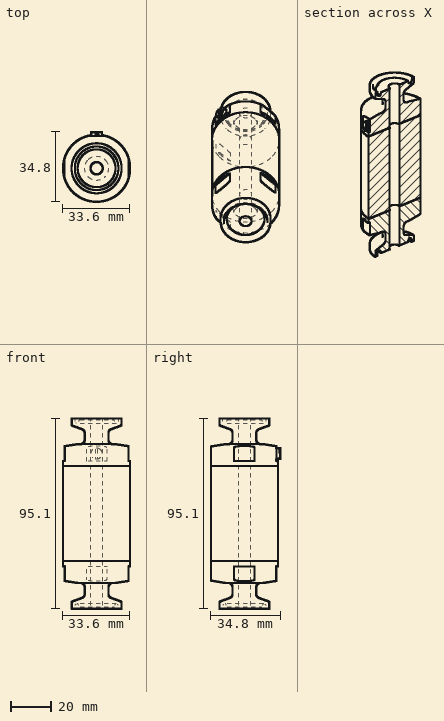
import cadquery as cq
import math

total_length = 95.1
body_diameter = 33.6
bore_diameter = 6.0
top_z = total_length / 2

flange_diameter = 25.0
flange_edge_depth = 3.6
flange_cone_angle = 20.0
flange_edge_fillet = 1.0
neck_diameter = 12.0
neck_cone_fillet = 1.75
neck_root_fillet = 2.0

groove_outer_diameter = 21.8
land_diameter = 17.2
land_recess = 0.8
groove_arc_radius = 1.45
groove_depth = 2.6
rim_fillet = 0.2

shoulder_depth = 12.88
shoulder_flat_diameter = 19.3
shoulder_slope = 9.0
shoulder_fillet = 0.85
joint_depth = 23.85

flat_distance = 16.0
flat_end_depth = 21.2

screw_diameter = 5.5
screw_top_y = 18.0
screw_depth = 17.6
slot_width = 1.0
slot_depth = 1.0

joint_z = top_z - joint_depth


def fillet_ring(solid, diameter, ring_z, radius):
    """Round the circular edge of the given diameter, centred on the axis at ring_z."""
    tolerance = 0.01

    def is_ring(edge):
        if edge.geomType() != "CIRCLE":
            return False
        return abs(edge.Center().z - ring_z) < tolerance and abs(2 * edge.radius() - diameter) < tolerance

    return solid.edges().filter(is_ring).fillet(radius)


def cut_groove(cap):
    """Recess the land and cut the round-cornered groove around it."""
    land_z = top_z - land_recess
    floor_z = top_z - groove_depth
    arc_start_z = floor_z + groove_arc_radius
    arc_centre_r = groove_outer_diameter / 2 - groove_arc_radius
    diagonal = groove_arc_radius * math.sqrt(0.5)
    groove = (
        cq.Workplane("XZ")
        .moveTo(0, top_z)
        .lineTo(groove_outer_diameter / 2, top_z)
        .lineTo(groove_outer_diameter / 2, arc_start_z)
        .threePointArc((arc_centre_r + diagonal, arc_start_z - diagonal), (arc_centre_r, floor_z))
        .lineTo(land_diameter / 2, land_z)
        .lineTo(0, land_z)
        .close()
        .revolve(360, (0, 0, 0), (0, 1, 0))
    )
    cap = cap.cut(groove)
    rings = ((flange_diameter, top_z), (groove_outer_diameter, top_z), (land_diameter, land_z))
    for diameter, ring_z in rings:
        cap = fillet_ring(cap, diameter, ring_z, rim_fillet)
    return cap


def cut_flats(cap):
    """Cut the three flats from the end face down to their ledge."""
    for angle in (0, 90, 180):
        cutter = (
            cq.Workplane("XY")
            .box(body_diameter, body_diameter, flat_end_depth, centered=(False, True, False))
            .translate((flat_distance, 0, top_z - flat_end_depth))
            .rotate((0, 0, 0), (0, 0, 1), angle)
        )
        cap = cap.cut(cutter)
    return cap


def make_end_cap():
    """Upper end cap: clamp flange, neck and shouldered base in one piece."""
    bore_r = bore_diameter / 2
    flange_r = flange_diameter / 2
    neck_r = neck_diameter / 2
    body_r = body_diameter / 2
    shoulder_flat_r = shoulder_flat_diameter / 2
    flange_edge_z = top_z - flange_edge_depth
    cone_end_z = flange_edge_z - (flange_r - neck_r) * math.tan(math.radians(flange_cone_angle))
    shoulder_z = top_z - shoulder_depth
    shoulder_drop = (body_r - shoulder_flat_r) * math.tan(math.radians(shoulder_slope))
    shoulder_rim_z = shoulder_z - shoulder_drop
    cap = (
        cq.Workplane("XZ")
        .moveTo(bore_r, top_z)
        .lineTo(flange_r, top_z)
        .lineTo(flange_r, flange_edge_z)
        .lineTo(neck_r, cone_end_z)
        .lineTo(neck_r, shoulder_z)
        .lineTo(shoulder_flat_r, shoulder_z)
        .lineTo(body_r, shoulder_rim_z)
        .lineTo(body_r, joint_z)
        .lineTo(bore_r, joint_z)
        .close()
        .revolve(360, (0, 0, 0), (0, 1, 0))
    )
    cap = fillet_ring(cap, flange_diameter, flange_edge_z, flange_edge_fillet)
    cap = fillet_ring(cap, neck_diameter, cone_end_z, neck_cone_fillet)
    cap = fillet_ring(cap, neck_diameter, shoulder_z, neck_root_fillet)
    cap = fillet_ring(cap, body_diameter, shoulder_rim_z, shoulder_fillet)
    return cut_flats(cut_groove(cap))


def make_sleeve():
    """Plain middle body between the two end caps."""
    return (
        cq.Workplane("XY", origin=(0, 0, -joint_z))
        .circle(body_diameter / 2)
        .circle(bore_diameter / 2)
        .extrude(2 * joint_z)
    )


def make_screw():
    """Slotted screw head seated on the +Y flat, slot running along Z."""
    screw_z = top_z - screw_depth
    head = (
        cq.Workplane("XZ", origin=(0, flat_distance, screw_z))
        .circle(screw_diameter / 2)
        .extrude(flat_distance - screw_top_y)
    )
    slot = (
        cq.Workplane("XY")
        .box(slot_width, 2 * slot_depth, 2 * screw_diameter)
        .translate((0, screw_top_y, screw_z))
    )
    return head.cut(slot)


upper_cap = make_end_cap()
lower_cap = upper_cap.mirror("XY")
sleeve = make_sleeve()
screw = make_screw()

result = cq.Compound.makeCompound([upper_cap.val(), lower_cap.val(), sleeve.val(), screw.val()])